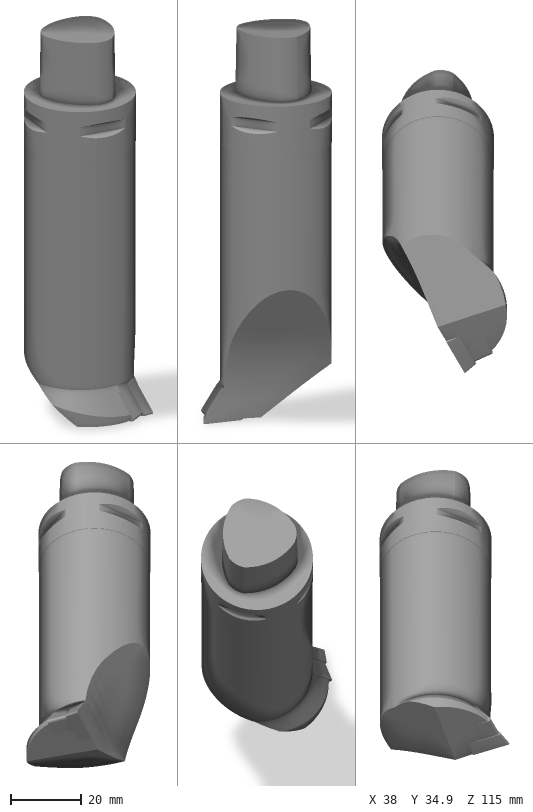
import cadquery as cq
import math

TOTAL_LENGTH = 115.0
SHANK_LENGTH = 18.9
FLANGE_LENGTH = 14.7
FLANGE_RADIUS = 16.0
BODY_RADIUS = 15.9
BODY_BOTTOM = 10.9
HEAD_BOTTOM = 1.0

LOBE_RADIUS = 11.6
FLANK_RADIUS = 10.0
LOBE_HALF_ANGLE = 13.5
SHANK_TOP_RATIO = 0.97

SLOT_COUNT = 4
SLOT_FIRST_ANGLE = 45
SLOT_FLOOR_DISTANCE = 14.3
SLOT_CENTRE_Z = 90.0
SLOT_FLOOR_HEIGHT = 2.6
SLOT_MOUTH_HEIGHT = 4.6

HEAD_RADIUS = 17.7
HEAD_X = 2.5
HEAD_Y = -1.2
RIM_HEIGHT = 6.3
RIM_SLOPE = -0.19

RELIEF_TOP_Z = 16.8
RELIEF_ANGLE = 36.5

NOSE_X = 22.3
NOSE_Y = 0.1
NOSE_Z = -0.03
RAKE_TURN = -6.8
NOSE_ANGLE = 55
LEAD_ANGLE = 3
INSCRIBED_DIAMETER = 9.5
NOSE_RADIUS = 0.4
INSERT_THICKNESS = 4.0
CLEARANCE_ANGLE = 7
SHIM_THICKNESS = 5.8
SHIM_INSET = 0.7
SHIM_NOSE_RADIUS = 0.7

FLUTE_RAMP_START = 18.6
FLUTE_RAMP_ANGLE = 29.5
FLUTE_BLEND_RADIUS = 41.4

REACH = 69.0

FLANGE_TOP = TOTAL_LENGTH - SHANK_LENGTH
FLANGE_BOTTOM = FLANGE_TOP - FLANGE_LENGTH
EDGE_LENGTH = INSCRIBED_DIAMETER / math.sin(math.radians(NOSE_ANGLE))


def polar(radius, angle):
    """Point at a radius and an angle in degrees."""
    return radius * math.cos(math.radians(angle)), radius * math.sin(math.radians(angle))


def shank_wire(scale, z):
    """Three-lobed outline: a short lobe arc and a long flank arc in each third."""
    mean = (LOBE_RADIUS + FLANK_RADIUS) / 2
    swing = (LOBE_RADIUS - FLANK_RADIUS) / 2

    def outline_point(angle_from_lobe, lobe):
        radius = mean + swing * math.cos(math.radians(3 * angle_from_lobe))
        return polar(scale * radius, lobe + angle_from_lobe)

    outline = cq.Workplane("XY").workplane(offset=z).moveTo(*outline_point(-LOBE_HALF_ANGLE, 90))
    for lobe in (90, 210, 330):
        outline = outline.threePointArc(outline_point(0, lobe), outline_point(LOBE_HALF_ANGLE, lobe))
        outline = outline.threePointArc(outline_point(60, lobe), outline_point(120 - LOBE_HALF_ANGLE, lobe))
    return outline.close().val()


def make_shank():
    wires = [shank_wire(1.0, FLANGE_TOP), shank_wire(SHANK_TOP_RATIO, TOTAL_LENGTH)]
    return cq.Workplane(cq.Solid.makeLoft(wires, True))


def cylinder(radius, bottom, top):
    return cq.Workplane("XY").workplane(offset=bottom).circle(radius).extrude(top - bottom)


def make_slots():
    """Flat-bottomed slots with flared sides, cut across the flange."""
    depth = FLANGE_RADIUS - SLOT_FLOOR_DISTANCE
    half_floor = SLOT_FLOOR_HEIGHT / 2
    half_mouth = SLOT_MOUTH_HEIGHT / 2
    slot = (
        cq.Workplane("XZ", origin=(SLOT_FLOOR_DISTANCE, 0, SLOT_CENTRE_Z))
        .polyline([(0, -half_floor), (depth, -half_mouth), (depth, half_mouth), (0, half_floor)])
        .close()
        .extrude(FLANGE_RADIUS, both=True)
    )
    slots = cq.Workplane("XY")
    for i in range(SLOT_COUNT):
        angle = SLOT_FIRST_ANGLE + i * 360 / SLOT_COUNT
        slots = slots.add(slot.rotate((0, 0, 0), (0, 0, 1), angle))
    return slots.combine()


def make_head():
    """Upright offset cylinder under a sloping rim, lofted up to the round body."""
    above_rim = (
        cq.Workplane("XZ")
        .polyline([
            (-REACH, RIM_HEIGHT - RIM_SLOPE * REACH),
            (REACH, RIM_HEIGHT + RIM_SLOPE * REACH),
            (REACH, REACH),
            (-REACH, REACH),
        ])
        .close()
        .extrude(REACH, both=True)
    )
    base = cylinder(HEAD_RADIUS, HEAD_BOTTOM, BODY_BOTTOM).translate((HEAD_X, HEAD_Y, 0)).cut(above_rim)
    rim = base.faces(">Z").val().outerWire()
    body_edge = cq.Workplane("XY").workplane(offset=BODY_BOTTOM).circle(BODY_RADIUS).wires().val()
    return base.union(cq.Workplane(cq.Solid.makeLoft([rim, body_edge], True)))


def make_relief():
    """Everything below the sloping plane on the -X side."""
    drop = 2 * REACH * math.tan(math.radians(RELIEF_ANGLE))
    return (
        cq.Workplane("XZ", origin=(-FLANGE_RADIUS, 0, RELIEF_TOP_Z))
        .polyline([(0, 0), (2 * REACH, -drop), (-REACH, -drop), (-REACH, drop / 2)])
        .close()
        .extrude(REACH, both=True)
    )


def place_at_nose(shape):
    """Move a shape from the nose frame (rake face in the XZ plane) to its place."""
    return shape.rotate((0, 0, 0), (0, 0, 1), RAKE_TURN).translate((NOSE_X, NOSE_Y, NOSE_Z))


def make_flute():
    """Space in front of the rake face, ending in a blended ramp up to the body side."""
    run = REACH / math.tan(math.radians(FLUTE_RAMP_ANGLE))
    flute = (
        cq.Workplane("YZ")
        .polyline([
            (0, -REACH),
            (0, FLUTE_RAMP_START),
            (REACH, FLUTE_RAMP_START + run),
            (REACH, -REACH),
        ])
        .close()
        .extrude(REACH, both=True)
    )
    blend_edge = cq.selectors.NearestToPointSelector((0, 0, FLUTE_RAMP_START))
    return place_at_nose(flute.edges(blend_edge).fillet(FLUTE_BLEND_RADIUS))


def rhombus(depth):
    """Insert outline on a plane lying a given depth behind the rake face."""
    lower = polar(EDGE_LENGTH, 180 - LEAD_ANGLE)
    upper = polar(EDGE_LENGTH, 180 - LEAD_ANGLE - NOSE_ANGLE)
    far = (lower[0] + upper[0], lower[1] + upper[1])
    return cq.Workplane("XZ", origin=(0, -depth, 0)).polyline([(0, 0), upper, far, lower]).close()


def make_insert():
    blank = rhombus(0).extrude(INSERT_THICKNESS, taper=CLEARANCE_ANGLE)
    nose = cq.selectors.NearestToPointSelector((0, -INSERT_THICKNESS / 2, 0))
    return place_at_nose(blank.edges(nose).fillet(NOSE_RADIUS))


def make_shim_blank():
    """Shim with a sharp nose, in the nose frame; it is also the shape of the shim's seat."""
    return rhombus(INSERT_THICKNESS).offset2D(-SHIM_INSET).extrude(SHIM_THICKNESS)


def make_shim():
    nose = cq.selectors.NearestToPointSelector((0, -INSERT_THICKNESS - SHIM_THICKNESS / 2, 0))
    return place_at_nose(make_shim_blank().edges(nose).fillet(SHIM_NOSE_RADIUS))


def make_flank_trim():
    """Space beyond the shim's outer flank, level with the insert and shim."""
    flank_angle = 180 - LEAD_ANGLE - NOSE_ANGLE
    along = polar(REACH, flank_angle)
    inset = polar(SHIM_INSET, flank_angle + 90)
    start = (inset[0] - along[0], inset[1] - along[1])
    end = (inset[0] + along[0], inset[1] + along[1])
    trim = (
        cq.Workplane("XZ")
        .polyline([start, end, (end[0] + REACH, end[1]), (start[0] + REACH, start[1])])
        .close()
        .extrude(INSERT_THICKNESS + SHIM_THICKNESS)
    )
    head_zone = cq.Workplane("XY").box(REACH, REACH, REACH).translate((0, 0, BODY_BOTTOM - REACH / 2))
    return place_at_nose(trim).intersect(head_zone)


insert = make_insert()
shim = make_shim()

holder = (
    make_shank()
    .union(cylinder(FLANGE_RADIUS, FLANGE_BOTTOM, FLANGE_TOP).cut(make_slots()))
    .union(cylinder(BODY_RADIUS, BODY_BOTTOM, FLANGE_BOTTOM))
    .union(make_head())
    .cut(make_relief())
    .cut(make_flute())
    .cut(make_flank_trim())
    .cut(insert)
    .cut(place_at_nose(make_shim_blank()))
)

result = cq.Compound.makeCompound([holder.solids().val(), insert.solids().val(), shim.solids().val()])